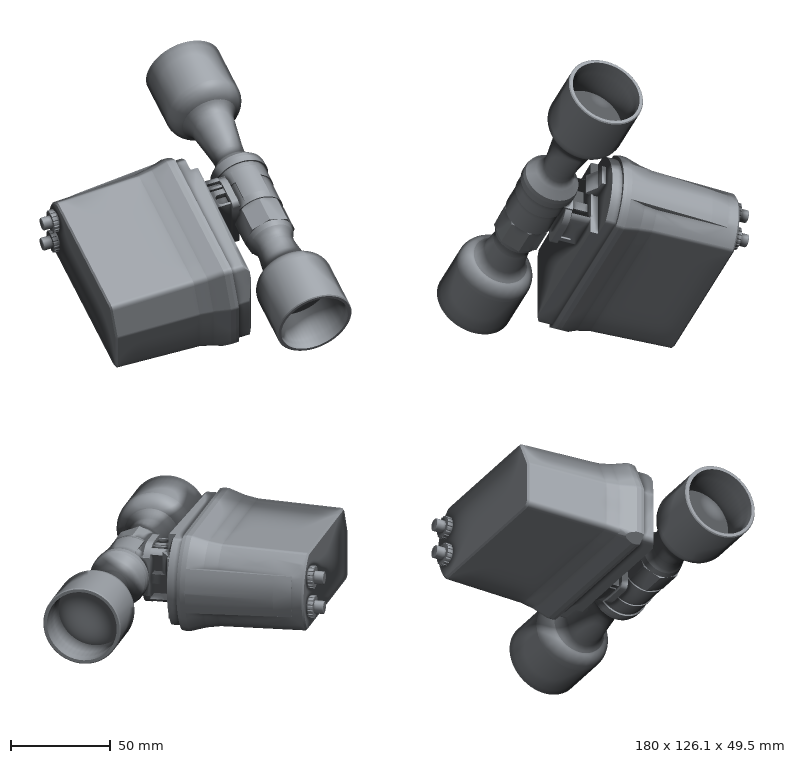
import cadquery as cq
import math


PIPE_LENGTH = 180.0
SOCKET_RADIUS = 20.0
SOCKET_BORE_RADIUS = 18.0
SOCKET_DEPTH = 24.0
SOCKET_LENGTH = 28.1
SOCKET_CHAMFER = 0.5
HALF_LENGTH = PIPE_LENGTH / 2
SOCKET_INNER_X = HALF_LENGTH - SOCKET_LENGTH
SHOULDER_X = SOCKET_INNER_X - 8.1
SHOULDER_RADIUS = 14.3
BODY_RADIUS = 13.2
BODY_STEP_RADIUS = 13.8
RING_RADIUS = 14.7
RING_START_X = -14.3
RING_END_X = -10.7
STEP_END_X = -1.3
NUT_START_X = 13.5
NUT_END_X = 28.8
NUT_RADIUS = 13.4
NUT_SIDES = 8
NUT_FACE_RADIUS = NUT_RADIUS * math.cos(math.pi / NUT_SIDES)
NUT_CHAMFER = 0.9
SADDLE_PAD_RADIUS = 13.9
SADDLE_PAD_HALF_WIDTH = 6.8
SADDLE_PAD_END_X = 12.7
SADDLE_PAD_RAMP = 2.8

NECK_X = (-8.5, 12.4)
NECK_HALF_Z = 13.9
NECK_RAIL = 2.2
NECK_START_Y = -14.4
NECK_FLANGE_HALF_Z = 15.6
NECK_FLANGE_END_X = 15.0
NECK_FLANGE_THICKNESS = 3.5
NECK_FLANGE_LEFT_RADIUS = 10.0
NECK_FLANGE_RIGHT_RADIUS = 3.0
NECK_CORNER_RADIUS = 5.0
SADDLE_START_Y = -9.4
SADDLE_HALF_Z = 10.0
NECK_CAVITY_END_X = 1.8
NECK_RIB_Z = (-5.0, 0.0)
NECK_RIB_START_X = -3.5
WINDOW_X = (4.9, 11.2)
WINDOW_END_Y = -20.5
WINDOW_DEPTH = 3.0
WINDOW_CORNER_RADIUS = 2.0
SLIT_X = (8.9, 10.0)
GROOVES_X = ((-3.5, -0.8), (0.6, 1.8))
GROOVE_DEPTH = 2.0

TOP_Z = 26.0
BOTTOM_Z = -23.5
RIGHT_X = 72.1
LEFT_X = -29.7
LEFT_MID_Z = 1.0
TOP_LEFT_X = -15.2
BOTTOM_LEFT_X = -18.5
TOP_RIGHT_X = 62.6
SLANT_LOW_Z = 7.0
CORNER_RADIUS = 3.2
LOW_CORNER_CUT_X = 5.0
LOW_CORNER_CUT_Z = 4.2
RIM_BACK_Y = -33.6
RIM_MID_Y = -35.4
RIM_FRONT_Y = -38.0
FLARE_MID_Y = -46.5
FLARE_END_Y = -53.5
FRONT_Y = -98.0
RIM_BACK_INSET = 0.4
FLARE_MID_INSET = 2.4
FLARE_END_INSET = 3.5
FRONT_INSET = 4.7
FRONT_CHAMFER = 0.9

LID_INSET = 2.35
LID_LOW_Y = -28.2
LID_HIGH_Y = -24.2
LID_STEP_X = -7.9
LID_END_CHAMFER_X = 5.5
LID_END_CHAMFER_Y = 2.9
BEVEL_START_X = LID_STEP_X
BEVEL_END_DEPTH = 3.2
BEVEL_START_DEPTH = 0.4

PAD_RIM_HALF_HEIGHT = 11.6
PAD_END_HALF_HEIGHT = 10.6
PAD_CENTER_Z = 0.9
PAD_FADE_Y = -82.6
PAD_END_Y = -91.7
PAD_FADE_INSET = 3.3
PAD_END_INSET = 4.35

CONNECTOR_X = -13.6
CONNECTOR_ZS = (8.9, -6.7)
CONNECTOR_END_Y = -106.1
BASE_RADIUS = 4.8
COLLAR_RADIUS = 5.8
COLLAR_START_Y = -98.7
COLLAR_END_Y = -101.3
KNURL_COUNT = 16
KNURL_RADIUS = 0.5
PLUG_RADIUS = 3.3
PLUG_CHAMFER = 0.3


def box_between(xs, ys, zs):
    """Box spanning the given (low, high) ranges."""
    return (
        cq.Workplane("XY")
        .box(xs[1] - xs[0], ys[1] - ys[0], zs[1] - zs[0], centered=False)
        .translate((xs[0], ys[0], zs[0]))
    )


def make_pipe():
    """Turned pipe run: two sockets necking down to a central body."""
    profile = (
        cq.Workplane("XY")
        .moveTo(-HALF_LENGTH, 0)
        .lineTo(-HALF_LENGTH, SOCKET_RADIUS)
        .lineTo(-SOCKET_INNER_X, SOCKET_RADIUS)
        .threePointArc((-57.4, 18.5), (-SHOULDER_X, SHOULDER_RADIUS))
        .threePointArc((-50.6, 12.0), (-46.8, 11.1))
        .lineTo(-30.8, 8.7)
        .lineTo(-26.5, 8.3)
        .threePointArc((-23.3, 8.9), (-20.6, 10.7))
        .lineTo(-16.5, 14.2)
        .lineTo(RING_START_X, RING_RADIUS)
        .lineTo(RING_END_X, RING_RADIUS)
        .lineTo(RING_END_X, BODY_STEP_RADIUS)
        .lineTo(STEP_END_X, BODY_STEP_RADIUS)
        .lineTo(STEP_END_X, BODY_RADIUS)
        .lineTo(NUT_START_X, BODY_RADIUS)
        .lineTo(NUT_START_X, NUT_FACE_RADIUS)
        .lineTo(NUT_END_X, NUT_FACE_RADIUS)
        .lineTo(31.8, 11.6)
        .threePointArc((34.7, 10.3), (38.0, 9.9))
        .lineTo(47.0, 11.1)
        .threePointArc((50.6, 12.0), (SHOULDER_X, SHOULDER_RADIUS))
        .threePointArc((57.4, 18.5), (SOCKET_INNER_X, SOCKET_RADIUS))
        .lineTo(HALF_LENGTH, SOCKET_RADIUS)
        .lineTo(HALF_LENGTH, 0)
        .close()
    )
    pipe = profile.revolve(360, (0, 0, 0), (1, 0, 0))
    pipe = pipe.faces("<X or >X").chamfer(SOCKET_CHAMFER)
    for floor_x in (-HALF_LENGTH, HALF_LENGTH - SOCKET_DEPTH):
        bore = cq.Workplane("YZ", origin=(floor_x, 0, 0)).circle(SOCKET_BORE_RADIUS).extrude(SOCKET_DEPTH)
        pipe = pipe.cut(bore)
    return pipe


def make_saddle_pad():
    """Raised curved band on top of the body, with conical ends."""
    ring = (
        cq.Workplane("XZ")
        .moveTo(RING_END_X, 0)
        .lineTo(RING_END_X, BODY_RADIUS)
        .lineTo(RING_END_X + SADDLE_PAD_RAMP, SADDLE_PAD_RADIUS)
        .lineTo(SADDLE_PAD_END_X - SADDLE_PAD_RAMP, SADDLE_PAD_RADIUS)
        .lineTo(SADDLE_PAD_END_X, BODY_RADIUS)
        .lineTo(SADDLE_PAD_END_X, 0)
        .close()
        .revolve(360, (0, 0, 0), (1, 0, 0))
    )
    band = box_between(
        (RING_END_X, SADDLE_PAD_END_X),
        (-SADDLE_PAD_HALF_WIDTH, SADDLE_PAD_HALF_WIDTH),
        (SADDLE_PAD_HALF_WIDTH, RING_RADIUS),
    )
    return ring.intersect(band)


def make_nut():
    """Octagonal nut with its corners chamfered on the body side."""
    length = NUT_END_X - NUT_START_X
    plane = cq.Workplane("YZ", origin=(NUT_START_X, 0, 0))
    prism = plane.polygon(NUT_SIDES, 2 * NUT_RADIUS).extrude(length)
    blank = plane.circle(NUT_RADIUS).extrude(length).faces("<X").chamfer(NUT_CHAMFER)
    return prism.intersect(blank)


def make_neck():
    """Hollowed column joining the pipe body to the lid."""
    column = box_between(NECK_X, (LID_HIGH_Y - 1, NECK_START_Y), (-NECK_HALF_Z, NECK_HALF_Z))
    column = column.edges("|Y and <X").fillet(NECK_CORNER_RADIUS)
    cavity_half_z = NECK_HALF_Z - NECK_RAIL
    cavity = box_between(
        (NECK_X[0], NECK_CAVITY_END_X), (LID_HIGH_Y, NECK_START_Y), (-cavity_half_z, cavity_half_z)
    )
    column = column.cut(cavity)
    rib = box_between((NECK_RIB_START_X, NECK_CAVITY_END_X), (LID_HIGH_Y, NECK_START_Y), NECK_RIB_Z)
    window = box_between(WINDOW_X, (WINDOW_END_Y, NECK_START_Y), (NECK_HALF_Z - WINDOW_DEPTH, NECK_HALF_Z))
    window = window.edges("|Z and <Y").fillet(WINDOW_CORNER_RADIUS)
    slit = box_between(SLIT_X, (WINDOW_END_Y, NECK_START_Y), (-NECK_HALF_Z, NECK_HALF_Z))
    column = column.union(rib).cut(window).cut(slit)
    for groove_x in GROOVES_X:
        groove_z = (NECK_HALF_Z - GROOVE_DEPTH, NECK_HALF_Z)
        column = column.cut(box_between(groove_x, (LID_HIGH_Y, NECK_START_Y), groove_z))
    flange = box_between(
        (NECK_X[0], NECK_FLANGE_END_X),
        (NECK_START_Y, NECK_START_Y + NECK_FLANGE_THICKNESS),
        (-NECK_FLANGE_HALF_Z, NECK_FLANGE_HALF_Z),
    )
    flange = flange.edges("|Y and <X").fillet(NECK_FLANGE_LEFT_RADIUS)
    flange = flange.edges("|Y and >X").fillet(NECK_FLANGE_RIGHT_RADIUS)
    saddle = box_between(NECK_X, (NECK_START_Y, SADDLE_START_Y), (-SADDLE_HALF_Z, SADDLE_HALF_Z))
    return column.union(flange).union(saddle)


def housing_wire(y, inset):
    """Housing outline at a given Y, moved inward by the inset, with rounded corners."""
    outline = (
        cq.Workplane("XZ", origin=(0, y, 0))
        .moveTo(TOP_LEFT_X, TOP_Z)
        .lineTo(TOP_RIGHT_X, TOP_Z)
        .lineTo(RIGHT_X, SLANT_LOW_Z)
        .lineTo(RIGHT_X, BOTTOM_Z)
        .lineTo(BOTTOM_LEFT_X, BOTTOM_Z)
        .threePointArc((LEFT_X, LEFT_MID_Z), (TOP_LEFT_X, TOP_Z))
        .close()
    )
    sharp = outline.offset2D(-inset - CORNER_RADIUS, "intersection")
    return sharp.offset2D(CORNER_RADIUS, "arc").val()


def housing_segment(back, front):
    """Tapered slice between two (Y, inset) stations."""
    wires = [housing_wire(*back), housing_wire(*front)]
    return cq.Workplane(obj=cq.Solid.makeLoft(wires, True))


def make_housing():
    """Rim, flared skirt and tapered shell with a chamfered front."""
    stations = [
        (RIM_BACK_Y, RIM_BACK_INSET),
        (RIM_MID_Y, 0),
        (RIM_FRONT_Y, 0),
        (FLARE_MID_Y, FLARE_MID_INSET),
        (FLARE_END_Y, FLARE_END_INSET),
        (FRONT_Y + FRONT_CHAMFER, FRONT_INSET),
        (FRONT_Y, FRONT_INSET + FRONT_CHAMFER),
    ]
    housing = housing_segment(stations[0], stations[1])
    for back, front in zip(stations[1:], stations[2:]):
        housing = housing.union(housing_segment(back, front))
    low_corner = (
        cq.Workplane("XZ", origin=(0, RIM_BACK_Y, 0))
        .moveTo(RIGHT_X, BOTTOM_Z)
        .lineTo(RIGHT_X, BOTTOM_Z + LOW_CORNER_CUT_Z)
        .lineTo(RIGHT_X - LOW_CORNER_CUT_X, BOTTOM_Z)
        .close()
        .extrude(RIM_BACK_Y - FRONT_Y)
    )
    return housing.cut(low_corner)


def make_pad():
    """Straight-drafted grip pad that fades into the left wall."""
    shell = housing_segment((RIM_FRONT_Y, 0), (PAD_FADE_Y, PAD_FADE_INSET))
    shell = shell.union(housing_segment((PAD_FADE_Y, PAD_FADE_INSET), (PAD_END_Y, PAD_END_INSET)))
    band = (
        cq.Workplane("YZ", origin=(LEFT_X, 0, PAD_CENTER_Z))
        .moveTo(RIM_FRONT_Y, PAD_RIM_HALF_HEIGHT)
        .lineTo(PAD_END_Y, PAD_END_HALF_HEIGHT)
        .lineTo(PAD_END_Y, -PAD_END_HALF_HEIGHT)
        .lineTo(RIM_FRONT_Y, -PAD_RIM_HALF_HEIGHT)
        .close()
        .extrude(CONNECTOR_X - LEFT_X)
    )
    return shell.intersect(band)


def make_lid():
    """Lid: low step at the left, high deck with a bevelled right end."""
    lid = housing_segment((LID_HIGH_Y, LID_INSET), (RIM_BACK_Y, LID_INSET))
    step = box_between((LEFT_X, LID_STEP_X), (LID_LOW_Y, LID_HIGH_Y), (BOTTOM_Z, TOP_Z))
    lid_right_x = RIGHT_X - LID_INSET
    end_bevel = (
        cq.Workplane("XY", origin=(0, 0, BOTTOM_Z))
        .moveTo(lid_right_x - LID_END_CHAMFER_X, LID_HIGH_Y)
        .lineTo(lid_right_x, LID_HIGH_Y)
        .lineTo(lid_right_x, LID_HIGH_Y - LID_END_CHAMFER_Y)
        .close()
        .extrude(TOP_Z - BOTTOM_Z)
    )
    return lid.cut(step).cut(end_bevel).cut(make_edge_bevel(lid_right_x))


def make_edge_bevel(end_x):
    """Tool for the bevel on the lid's upper edge, deepening toward the right."""
    lid_top_z = TOP_Z - LID_INSET
    triangles = []
    for x, depth in ((BEVEL_START_X, BEVEL_START_DEPTH), (end_x, BEVEL_END_DEPTH)):
        corners = [
            (x, LID_HIGH_Y, lid_top_z),
            (x, LID_HIGH_Y - depth, lid_top_z),
            (x, LID_HIGH_Y, lid_top_z - depth),
        ]
        triangles.append(cq.Wire.makePolygon([cq.Vector(*c) for c in corners], close=True))
    return cq.Workplane(obj=cq.Solid.makeLoft(triangles, True))


def make_latch():
    """Ramped latch on the low step of the lid, rising to the neck."""
    latch_z = (2.8, NECK_HALF_Z)
    return (
        cq.Workplane("XY", origin=(0, 0, latch_z[0]))
        .moveTo(-18.6, LID_LOW_Y)
        .lineTo(-18.6, -26.0)
        .lineTo(-14.5, -25.6)
        .lineTo(-8.6, -21.3)
        .lineTo(LID_STEP_X, -21.3)
        .lineTo(LID_STEP_X, LID_LOW_Y)
        .close()
        .extrude(latch_z[1] - latch_z[0])
    )


def make_connector(z):
    """Round plug with a notched collar on the housing front."""
    base = cq.Workplane("XZ", origin=(CONNECTOR_X, FRONT_Y + 1, z)).circle(BASE_RADIUS)
    base = base.extrude(FRONT_Y + 1 - COLLAR_START_Y)
    collar_plane = cq.Workplane("XZ", origin=(CONNECTOR_X, COLLAR_START_Y, z))
    collar_length = COLLAR_START_Y - COLLAR_END_Y
    collar = collar_plane.circle(COLLAR_RADIUS).extrude(collar_length)
    notches = collar_plane.polarArray(COLLAR_RADIUS, 0, 360, KNURL_COUNT)
    collar = collar.cut(notches.circle(KNURL_RADIUS).extrude(collar_length))
    plug = collar_plane.circle(PLUG_RADIUS).extrude(COLLAR_START_Y - CONNECTOR_END_Y)
    plug = plug.faces("<Y").chamfer(PLUG_CHAMFER)
    return base.union(collar).union(plug)


result = make_pipe().union(make_saddle_pad()).union(make_nut()).union(make_neck())
result = result.union(make_lid()).union(make_housing()).union(make_pad()).union(make_latch())
for connector_z in CONNECTOR_ZS:
    result = result.union(make_connector(connector_z))